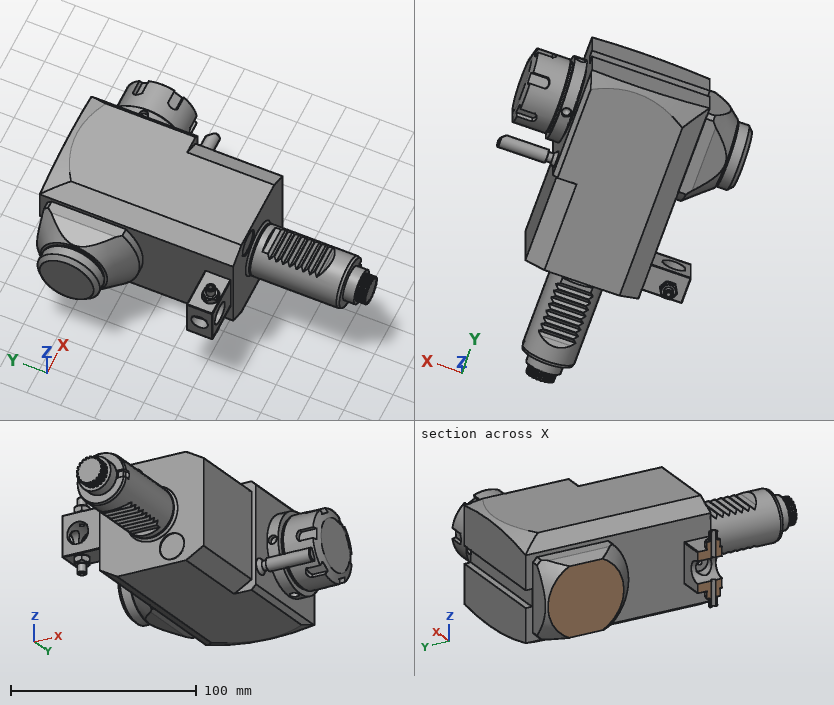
import cadquery as cq
import math


BODY_LENGTH = 114.2
BODY_HALF_HEIGHT = 32.0
BODY_LEFT = -32.4
BODY_RIGHT = 32.2
PAD_RIGHT = 35.0
PAD_START = 51.4
PAD_CHAMFER = 2.7
SIDE_CHAMFER = (10.9, 6.2)
DOME_RADIUS = 164.7
DOME_AXIS_X = 8.7
DOME_CREST = 31.1
DOME_DRAFT = 15
KEYWAY_WIDTH = 10.5
KEYWAY_DEPTH = 4.0
PLUG_RADIUS = 7.6
PLUG_DEPTH = 0.7
PLUG_X, PLUG_Z = 12.5, 21.7

SPINDLE_Y = 85.3
BOSS_RADIUS = BODY_HALF_HEIGHT
BOSS_SHOULDER = -37.0
BOSS_TIP = -51.8
BOSS_TIP_RADIUS = 19.7
BOSS_HALF_HEIGHT = 23.3
BOSS_BACK = 109.7
BOSS_SLOPE_START = -39.1
BOSS_SLOPE = 15
CAP_END = -61.2
CAP_RADIUS = 18.5
CAP_CHAMFER = 2.5
CAP_GROOVE_RADIUS = 18.0
CAP_GROOVE_END = -52.7

COLLAR_START = 35.8
COLLAR_END = 42.7
COLLAR_RADIUS = 23.5
NECK_RADIUS = 20.0
SPANNER_HOLES = 4
SPANNER_HOLE_RADIUS = 2.5
SPANNER_HOLE_DEPTH = 2.7
SPANNER_HOLE_TIP = 1.6
NUT_START = 43.8
NUT_SHOULDER = 62.8
NUT_END = 64.6
NUT_RADIUS = 21.0
NUT_TIP_RADIUS = 15.4
NUT_REAR_CHAMFER = 0.7
NUT_SLOTS = 6
NUT_SLOT_WIDTH = 6.3
NUT_SLOT_START = 52.7
NUT_SLOT_SAGITTA = 1.6
NUT_SLOT_FLOOR = 18.1

NOZZLE_Y, NOZZLE_Z = 56.5, -17.0
NOZZLE_BASE_RADIUS = 4.7
NOZZLE_NECK_RADIUS = 2.7
NOZZLE_NECK_START = 37.1
NOZZLE_START = 40.2
NOZZLE_END = 67.5
NOZZLE_RADIUS = 3.8
NOZZLE_TIP_CHAMFER = 0.5
NOZZLE_BEVEL = 3.3
NOZZLE_BORE_RADIUS = 1.0
NOZZLE_BORE_DEPTH = 3.6

BLOCK_LEFT = -56.7
BLOCK_FRONT, BLOCK_BACK = 1.3, 16.5
BLOCK_HALF_HEIGHT = 12.3
BLOCK_CHAMFER = 0.4
BLOCK_BORE_X = -46.9
BLOCK_BORE_RADIUS = 6.5
BLOCK_PORT_RADIUS = 4.9
BLOCK_PORT_END = -36.2
JET_RADIUS = 1.3
JET_DEPTH = 2.7
FITTING_X, FITTING_Y = -47.2, 6.5
FITTING_TOP = 22.3
FITTING_RADIUS = 2.5
FITTING_BORE_RADIUS = 1.3
FITTING_CHAMFER = 0.5
HEX_ACROSS_FLATS = 8.5
HEX_TOP = 16.8
HEX_BEVEL = 1.0

FLANGE_RADIUS = 16.1
FLANGE_END = -1.3
RELIEF_RADIUS = 14.7
RELIEF_END = -2.2
SHANK_RADIUS = 15.0
SHANK_END = -54.7
SHANK_CHAMFER_LENGTH = 1.6
SHANK_CHAMFER_DEPTH = 0.5
STUB_RADIUS = 10.0
STUB_END = -61.2
SPLINE_END = -66.8
SPLINE_RADIUS = 8.0
SPLINE_ROOT = 7.2
SPLINE_TEETH = 20
FLAT_START = -6.5
FLAT_HEIGHT = 12.3
TOOTH_PITCH = 4.0
TOOTH_DEPTH = 1.6
TOOTH_HALF_WIDTH = 1.8
FIRST_TOOTH = -11.5
TOOTH_COUNT = 8
SLOT_WIDTH = 4.3
SLOT_STEP = 13.0
SLOT_START = -50.1
SLOT_SHALLOW_START = -52.9

OVERSIZE = 2 * BODY_LENGTH


def box(x0, x1, y0, y1, z0, z1):
    """Box between two corners."""
    size = (x1 - x0, y1 - y0, z1 - z0)
    return cq.Workplane("XY").box(*size, centered=False).translate((x0, y0, z0))


def turned_x(points, y, z=0.0):
    """Solid turned about an axis along X; points are (x, radius)."""
    outline = [(points[0][0], 0), *points, (points[-1][0], 0)]
    solid = cq.Workplane("XY").polyline(outline).close().revolve(360, (0, 0), (1, 0))
    return solid.translate((0, y, z))


def turned_y(points):
    """Solid turned about the shank axis; points are (y, radius)."""
    outline = [(0, points[0][0]), *[(r, y) for y, r in points], (0, points[-1][0])]
    return cq.Workplane("XY").polyline(outline).close().revolve(360, (0, 0), (0, 1))


def rod(start, direction, radius, length):
    """Cylinder from a start point along a direction."""
    solid = cq.Solid.makeCylinder(radius, length, cq.Vector(*start), cq.Vector(*direction))
    return cq.Workplane(obj=solid)


def both_sides(solid):
    """A solid together with its mirror image below Z = 0."""
    return solid.union(solid.mirror("XY"))


def chamfered_bar(right, right_chamfer):
    """Octagonal bar along Y with its own chamfers on the right side."""
    left_x, left_z = SIDE_CHAMFER
    right_x, right_z = right_chamfer
    h = BODY_HALF_HEIGHT
    upper = [
        (BODY_LEFT, h - left_z),
        (BODY_LEFT + left_x, h),
        (right - right_x, h),
        (right, h - right_z),
    ]
    lower = [(x, -z) for x, z in reversed(upper)]
    return cq.Workplane("XZ").polyline(upper + lower).close().extrude(-BODY_LENGTH)


def rear_cone():
    """Cone whose upper side tapers the top face towards the rear."""
    front_radius = DOME_RADIUS + BODY_LENGTH * math.tan(math.radians(DOME_DRAFT))
    base = cq.Vector(DOME_AXIS_X, 0, DOME_CREST - DOME_RADIUS)
    cone = cq.Solid.makeCone(front_radius, DOME_RADIUS, BODY_LENGTH, base, cq.Vector(0, 1, 0))
    return cq.Workplane(obj=cone)


def housing():
    """Housing block with the spindle pad, tapered rear, keyway and plug recesses."""
    slim = chamfered_bar(BODY_RIGHT, SIDE_CHAMFER)
    wide = chamfered_bar(PAD_RIGHT, (PAD_CHAMFER, PAD_CHAMFER))
    pad_zone = box(-OVERSIZE, OVERSIZE, PAD_START, BODY_LENGTH, -OVERSIZE, OVERSIZE)
    body = slim.union(wide.intersect(pad_zone))
    cone = rear_cone()
    body = body.intersect(cone).intersect(cone.mirror("XY"))
    half_key = KEYWAY_WIDTH / 2
    keyway = box(-OVERSIZE, OVERSIZE, BODY_LENGTH - KEYWAY_DEPTH, OVERSIZE, -half_key, half_key)
    body = body.cut(keyway)
    for side in (-1, 1):
        start = (side * PLUG_X, 0, -side * PLUG_Z)
        body = body.cut(rod(start, (0, 1, 0), PLUG_RADIUS, PLUG_DEPTH))
    return body


def bearing_boss():
    """Conical rear bearing boss with flattened sides, and its cap."""
    boss = turned_x(
        [(BOSS_TIP, BOSS_TIP_RADIUS), (BOSS_SHOULDER, BOSS_RADIUS), (BODY_LEFT, BOSS_RADIUS)],
        SPINDLE_Y,
    )
    run = BOSS_SLOPE_START - BOSS_TIP
    tip_height = BOSS_HALF_HEIGHT - run * math.tan(math.radians(BOSS_SLOPE))
    upper = [
        (BOSS_TIP, tip_height),
        (BOSS_SLOPE_START, BOSS_HALF_HEIGHT),
        (BODY_LEFT, BOSS_HALF_HEIGHT),
    ]
    lower = [(x, -z) for x, z in reversed(upper)]
    envelope = cq.Workplane("XZ").polyline(upper + lower).close().extrude(-BOSS_BACK)
    cap = turned_x(
        [
            (CAP_END, CAP_RADIUS - CAP_CHAMFER),
            (CAP_END + CAP_CHAMFER, CAP_RADIUS),
            (CAP_GROOVE_END, CAP_RADIUS),
            (CAP_GROOVE_END, CAP_GROOVE_RADIUS),
            (BOSS_SHOULDER, CAP_GROOVE_RADIUS),
        ],
        SPINDLE_Y,
    )
    return boss.intersect(envelope).union(cap)


def nut_slot():
    """Wrench slot on the +Z side of the nut, open at its free end."""
    half = NUT_SLOT_WIDTH / 2
    shoulder = NUT_SLOT_START + NUT_SLOT_SAGITTA
    outline = (
        cq.Workplane("XY", origin=(0, SPINDLE_Y, NUT_SLOT_FLOOR))
        .moveTo(NUT_END, -half)
        .lineTo(shoulder, -half)
        .threePointArc((NUT_SLOT_START, 0), (shoulder, half))
        .lineTo(NUT_END, half)
        .close()
    )
    return outline.extrude(NUT_RADIUS)


def collet_chuck():
    """Spindle collar with spanner holes, and the slotted clamping nut."""
    chuck = turned_x(
        [
            (BODY_RIGHT, NECK_RADIUS),
            (COLLAR_START, NECK_RADIUS),
            (COLLAR_START, COLLAR_RADIUS),
            (COLLAR_END, COLLAR_RADIUS),
            (COLLAR_END, NECK_RADIUS),
            (NUT_START, NECK_RADIUS),
            (NUT_START, NUT_RADIUS - NUT_REAR_CHAMFER),
            (NUT_START + NUT_REAR_CHAMFER, NUT_RADIUS),
            (NUT_SHOULDER, NUT_RADIUS),
            (NUT_END, NUT_TIP_RADIUS),
        ],
        SPINDLE_Y,
    )
    axis = ((0, SPINDLE_Y, 0), (1, SPINDLE_Y, 0))
    hole_start = ((COLLAR_START + COLLAR_END) / 2, SPINDLE_Y, COLLAR_RADIUS)
    hole = rod(hole_start, (0, 0, -1), SPANNER_HOLE_RADIUS, SPANNER_HOLE_DEPTH)
    tip_start = cq.Vector(hole_start[0], SPINDLE_Y, COLLAR_RADIUS - SPANNER_HOLE_DEPTH)
    tip = cq.Solid.makeCone(SPANNER_HOLE_RADIUS, 0, SPANNER_HOLE_TIP, tip_start, cq.Vector(0, 0, -1))
    hole = hole.union(cq.Workplane(obj=tip))
    for i in range(SPANNER_HOLES):
        chuck = chuck.cut(hole.rotate(*axis, i * 360 / SPANNER_HOLES))
    slot = nut_slot()
    for i in range(NUT_SLOTS):
        chuck = chuck.cut(slot.rotate(*axis, 90 + i * 360 / NUT_SLOTS))
    return chuck


def coolant_nozzle():
    """Nozzle whose bevelled, bored tip is turned towards the spindle axis."""
    nozzle = turned_x(
        [
            (BODY_RIGHT, NOZZLE_BASE_RADIUS),
            (PAD_RIGHT, NOZZLE_BASE_RADIUS),
            (NOZZLE_NECK_START, NOZZLE_NECK_RADIUS),
            (NOZZLE_START, NOZZLE_NECK_RADIUS),
            (NOZZLE_START, NOZZLE_RADIUS),
            (NOZZLE_END - NOZZLE_TIP_CHAMFER, NOZZLE_RADIUS),
            (NOZZLE_END, NOZZLE_RADIUS - NOZZLE_TIP_CHAMFER),
        ],
        NOZZLE_Y,
        NOZZLE_Z,
    )
    edge = NOZZLE_Y + NOZZLE_RADIUS
    bevel = (
        cq.Workplane("XY", origin=(0, 0, NOZZLE_Z - NOZZLE_RADIUS))
        .polyline([(NOZZLE_END - NOZZLE_BEVEL, edge), (NOZZLE_END, edge), (NOZZLE_END, edge - NOZZLE_BEVEL)])
        .close()
        .extrude(2 * NOZZLE_RADIUS)
    )
    centre = (NOZZLE_END - NOZZLE_BEVEL / 2, edge - NOZZLE_BEVEL / 2, NOZZLE_Z)
    bore = rod(centre, (-1, -1, 0), NOZZLE_BORE_RADIUS, NOZZLE_BORE_DEPTH)
    tilt = math.degrees(math.atan2(-NOZZLE_Z, SPINDLE_Y - NOZZLE_Y))
    tip_cut = bevel.union(bore).rotate((0, NOZZLE_Y, NOZZLE_Z), (1, NOZZLE_Y, NOZZLE_Z), tilt)
    return nozzle.cut(tip_cut)


def fitting():
    """Hexagonal coolant fitting on top of the block."""
    hex_height = HEX_TOP - BLOCK_HALF_HEIGHT
    base = (FITTING_X, FITTING_Y, BLOCK_HALF_HEIGHT)
    hexagon = (
        cq.Workplane("XY", origin=base)
        .transformed(rotate=(0, 0, 30))
        .polygon(6, HEX_ACROSS_FLATS, circumscribed=True)
        .extrude(hex_height)
    )
    corner_radius = HEX_ACROSS_FLATS / math.sqrt(3)
    turned_blank = rod(base, (0, 0, 1), corner_radius, hex_height).faces("<Z or >Z").chamfer(HEX_BEVEL)
    pin = rod(base, (0, 0, 1), FITTING_RADIUS, FITTING_TOP - BLOCK_HALF_HEIGHT)
    return hexagon.intersect(turned_blank).union(pin.faces(">Z").chamfer(FITTING_CHAMFER))


def coolant_block():
    """Drilled block with a fitting above and below."""
    block = box(BLOCK_LEFT, BODY_LEFT, BLOCK_FRONT, BLOCK_BACK, -BLOCK_HALF_HEIGHT, BLOCK_HALF_HEIGHT)
    block = block.edges("not >X").chamfer(BLOCK_CHAMFER)
    block = block.union(both_sides(fitting()))
    port_y = (BLOCK_FRONT + BLOCK_BACK) / 2
    bore = rod((BLOCK_BORE_X, 0, 0), (0, 1, 0), BLOCK_BORE_RADIUS, BLOCK_BACK)
    port = rod((BLOCK_LEFT, port_y, 0), (1, 0, 0), BLOCK_PORT_RADIUS, BLOCK_PORT_END - BLOCK_LEFT)
    jet = rod((BLOCK_PORT_END, port_y, 0), (1, 0, 0), JET_RADIUS, JET_DEPTH)
    fitting_bore = rod((FITTING_X, FITTING_Y, -FITTING_TOP), (0, 0, 1), FITTING_BORE_RADIUS, 2 * FITTING_TOP)
    return block.cut(bore).cut(port).cut(jet).cut(fitting_bore)


def serration():
    """Material removed above the shank's upper clamping flat."""
    root = FLAT_HEIGHT - TOOTH_DEPTH
    outline = [(FLAT_START, SHANK_RADIUS), (FLAT_START, FLAT_HEIGHT)]
    for i in range(TOOTH_COUNT):
        y = FIRST_TOOTH - i * TOOTH_PITCH
        outline += [(y + TOOTH_HALF_WIDTH, FLAT_HEIGHT), (y, root), (y - TOOTH_HALF_WIDTH, FLAT_HEIGHT)]
    ramp_rise = SHANK_RADIUS - FLAT_HEIGHT
    ramp_start = outline[-1][0]
    outline.append((ramp_start - ramp_rise, SHANK_RADIUS))
    return cq.Workplane("YZ").polyline(outline).close().extrude(SHANK_RADIUS, both=True)


def spline():
    """Toothed drive end of the shank."""
    step = 2 * math.pi / SPLINE_TEETH
    tooth = [(0, SPLINE_ROOT), (0.4, SPLINE_ROOT), (0.5, SPLINE_RADIUS), (0.9, SPLINE_RADIUS)]
    outline = []
    for i in range(SPLINE_TEETH):
        for fraction, radius in tooth:
            angle = (i + fraction) * step
            outline.append((radius * math.cos(angle), radius * math.sin(angle)))
    length = STUB_END - SPLINE_END
    return cq.Workplane("XZ", origin=(0, STUB_END, 0)).polyline(outline).close().extrude(length)


def shank():
    """Serrated cylindrical shank with its flange, drive slot and splined end."""
    solid = turned_y(
        [
            (0, FLANGE_RADIUS),
            (FLANGE_END, RELIEF_RADIUS),
            (RELIEF_END, RELIEF_RADIUS),
            (RELIEF_END, SHANK_RADIUS),
            (SHANK_END + SHANK_CHAMFER_LENGTH, SHANK_RADIUS),
            (SHANK_END, SHANK_RADIUS - SHANK_CHAMFER_DEPTH),
            (SHANK_END, STUB_RADIUS),
            (STUB_END, STUB_RADIUS),
        ]
    )
    half_slot = SLOT_WIDTH / 2
    deep_slot = box(SLOT_STEP, SHANK_RADIUS, SHANK_END, SLOT_START, -half_slot, half_slot)
    shallow_slot = box(STUB_RADIUS, SLOT_STEP, SHANK_END, SLOT_SHALLOW_START, -half_slot, half_slot)
    slot = deep_slot.union(shallow_slot)
    return solid.cut(both_sides(serration())).cut(slot).union(spline())


result = (
    housing()
    .union(bearing_boss())
    .union(collet_chuck())
    .union(coolant_nozzle())
    .union(coolant_block())
    .union(shank())
)